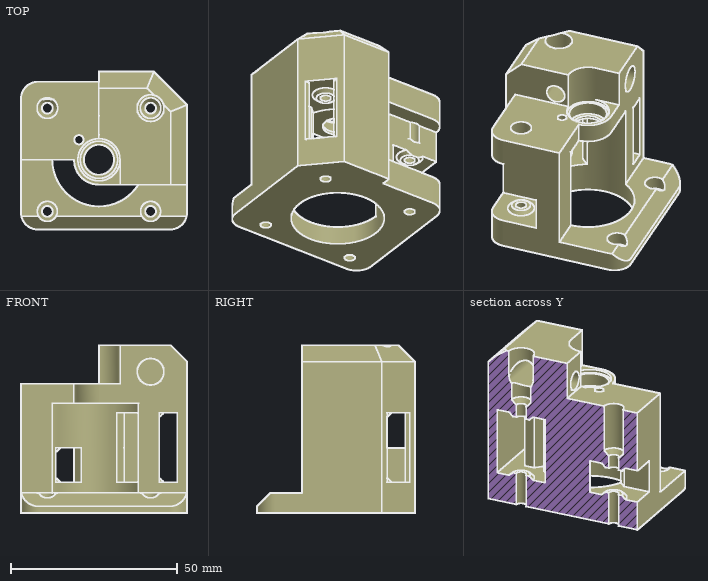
import cadquery as cq


LEFT = -23.5
RIGHT = 26.5
FRONT = -21.0
BACK = 26.5
HEIGHT = 50.5
LEFT_BACK = 23.5
CORNER_RADIUS = 5.25
CORNER_CHAMFER = 10.0
TOP_BEVEL = 5.0

PLATE_TOP = 6.1
PLATE_BEVEL = 4.05
DECK = 38.9
BOSS_RADIUS = 7.5
BLOCK_FRONT = -BOSS_RADIUS

MOTOR_BORE_DIAMETER = 28.0
MOTOR_BORE_TOP = 33.0
CLEARANCE_DIAMETER = 12.7
CLEARANCE_DEPTH = 1.0
CLEARANCE_FLOOR = DECK - CLEARANCE_DEPTH
BEARING_DIAMETER = 11.2
BEARING_FLOOR = 33.9
SHAFT_HOLE_DIAMETER = 9.0
PILOT_HOLE_DIAMETER = 2.75
PILOT_HOLE_OFFSET = 6.0

SCREW_OFFSET = 15.5
SCREW_DIAMETER = 3.2
FRONT_HEAD_DIAMETER = 6.0
FRONT_HEAD_FLOOR = 2.0
REAR_HEAD_DIAMETER = 6.2
SEAT_ABOVE_POCKET = 3.05

POCKET_FLOOR = 9.35
LEFT_POCKET_TOP = 19.6
RIGHT_POCKET_TOP = 30.1
POCKET_INNER = 7.5
SLOT_NEAR = 18.15
SLOT_FAR = LEFT_BACK
RING_BASE_DIAMETER = 8.0
RING_TIP_DIAMETER = 5.6
RING_HEIGHT = 1.1

CLAMP_HEIGHT = 42.45
CLAMP_BORE_DIAMETER = 8.0
CLAMP_BORE_END = 20.7
ACCESS_DIAMETER = 8.05
CROSS_BORE_DIAMETER = 5.75
CROSS_BORE_Y = 10.4

OUTSIDE = 30.3
OVERLAP = 2.5


def box(x0, x1, y0, y1, z0, z1):
    return cq.Workplane("XY").box(x1 - x0, y1 - y0, z1 - z0, centered=False).translate((x0, y0, z0))


def cylinder(x, y, diameter, z0, z1):
    return cq.Workplane("XY", origin=(x, y, z0)).circle(diameter / 2).extrude(z1 - z0)


def cone(x, y, z0, diameter0, z1, diameter1):
    solid = cq.Solid.makeCone(diameter0 / 2, diameter1 / 2, z1 - z0, cq.Vector(x, y, z0), cq.Vector(0, 0, 1))
    return cq.Workplane(obj=solid)


def make_plate():
    plate = box(LEFT, RIGHT, FRONT, SCREW_OFFSET - OVERLAP, 0, PLATE_TOP)
    plate = plate.edges("|Z and <Y").fillet(CORNER_RADIUS)
    wedge = (
        cq.Workplane("YZ", origin=(LEFT, 0, 0))
        .moveTo(FRONT, PLATE_TOP)
        .lineTo(FRONT + PLATE_BEVEL, PLATE_TOP)
        .lineTo(FRONT, PLATE_TOP - PLATE_BEVEL)
        .close()
        .extrude(RIGHT - LEFT)
    )
    return plate.cut(wedge)


def make_left_block():
    block = box(LEFT, OVERLAP, 0, LEFT_BACK, 0, DECK)
    return block.edges("|Z and <X and >Y").fillet(CORNER_RADIUS)


def make_tower():
    tower = (
        cq.Workplane("XY")
        .moveTo(0, BLOCK_FRONT)
        .lineTo(RIGHT, BLOCK_FRONT)
        .lineTo(RIGHT, BACK - CORNER_CHAMFER)
        .lineTo(RIGHT - CORNER_CHAMFER, BACK)
        .lineTo(0, BACK)
        .close()
        .extrude(HEIGHT)
    )
    return tower.faces(">Z").edges("not(<X or <Y)").chamfer(TOP_BEVEL)


def cut_shaft_bores(body):
    clearance_radius = CLEARANCE_DIAMETER / 2
    body = body.cut(cylinder(0, 0, CLEARANCE_DIAMETER, CLEARANCE_FLOOR, HEIGHT))
    body = body.cut(box(0, clearance_radius, BLOCK_FRONT, 0, DECK, HEIGHT))
    body = body.cut(cylinder(0, 0, BEARING_DIAMETER, BEARING_FLOOR, DECK))
    body = body.cut(cylinder(0, 0, SHAFT_HOLE_DIAMETER, 0, DECK))
    return body.cut(cylinder(-PILOT_HOLE_OFFSET, PILOT_HOLE_OFFSET, PILOT_HOLE_DIAMETER, 0, DECK))


def make_floor_ring(x):
    tip = POCKET_FLOOR + RING_HEIGHT
    return cone(x, SCREW_OFFSET, POCKET_FLOOR, RING_BASE_DIAMETER, tip, RING_TIP_DIAMETER)


def make_ceiling_ring(x, ceiling):
    return cone(x, SCREW_OFFSET, ceiling - RING_HEIGHT, RING_TIP_DIAMETER, ceiling, RING_BASE_DIAMETER)


def make_screw_pocket(side, reach, top):
    """Square pocket around a rear screw, opened diagonally into the motor bore."""
    x_near, x_far = sorted((side * POCKET_INNER, side * reach))
    pocket = box(x_near, x_far, POCKET_INNER, reach, POCKET_FLOOR, top)
    passage = (
        cq.Workplane("XY", origin=(0, 0, POCKET_FLOOR))
        .polyline([
            (0, POCKET_INNER),
            (side * POCKET_INNER, 2 * POCKET_INNER),
            (side * 2 * POCKET_INNER, POCKET_INNER),
            (side * POCKET_INNER, 0),
        ])
        .close()
        .extrude(top - POCKET_FLOOR)
    )
    return pocket.union(passage)


def cut_left_pocket(body):
    """Pocket open to the left and back, with a taller slot along the rear face that trims its upper ring."""
    ceiling_ring = make_ceiling_ring(-SCREW_OFFSET, LEFT_POCKET_TOP)
    pocket = make_screw_pocket(-1, OUTSIDE, LEFT_POCKET_TOP).cut(ceiling_ring)
    rear_slot = box(-OUTSIDE, 0, SLOT_NEAR, SLOT_FAR, POCKET_FLOOR, RIGHT_POCKET_TOP)
    cutter = pocket.union(rear_slot).cut(make_floor_ring(-SCREW_OFFSET))
    return body.cut(cutter)


def cut_right_pocket(body):
    """Pocket with openings to the front, back and right, and a tunnel to the left rear slot."""
    ceiling = RIGHT_POCKET_TOP
    cutter = (
        make_screw_pocket(1, SLOT_FAR, ceiling)
        .union(box(SLOT_NEAR, SLOT_FAR, -OUTSIDE, OUTSIDE, POCKET_FLOOR, ceiling))
        .union(box(POCKET_INNER, OUTSIDE, SLOT_NEAR, SLOT_FAR, POCKET_FLOOR, ceiling))
        .cut(make_floor_ring(SCREW_OFFSET))
        .cut(make_ceiling_ring(SCREW_OFFSET, ceiling))
    )
    tunnel = box(0, POCKET_INNER, SLOT_NEAR, SLOT_FAR, LEFT_POCKET_TOP, ceiling)
    return body.cut(cutter).cut(tunnel)


def cut_filament_bores(body):
    """Bore from the front over the right rear screw, met by a bore from the left."""
    bore = (
        cq.Workplane("XZ", origin=(SCREW_OFFSET, BLOCK_FRONT, CLAMP_HEIGHT))
        .circle(CLAMP_BORE_DIAMETER / 2)
        .extrude(BLOCK_FRONT - CLAMP_BORE_END)
    )
    cross_bore = (
        cq.Workplane("YZ", origin=(0, CROSS_BORE_Y, CLAMP_HEIGHT))
        .circle(CROSS_BORE_DIAMETER / 2)
        .extrude(SCREW_OFFSET)
    )
    access = cylinder(SCREW_OFFSET, SCREW_OFFSET, ACCESS_DIAMETER, CLAMP_HEIGHT, HEIGHT)
    return body.cut(access).cut(bore).cut(cross_bore)


def cut_front_screw(body, x):
    body = body.cut(cylinder(x, -SCREW_OFFSET, SCREW_DIAMETER, 0, PLATE_TOP))
    return body.cut(cylinder(x, -SCREW_OFFSET, FRONT_HEAD_DIAMETER, FRONT_HEAD_FLOOR, PLATE_TOP))


def cut_rear_screw(body, x, pocket_top, entry):
    """Screw hole with a countersunk head seat above the pocket, open upwards to the entry height."""
    seat_bottom = pocket_top + SEAT_ABOVE_POCKET
    seat_top = seat_bottom + (REAR_HEAD_DIAMETER - SCREW_DIAMETER) / 2
    body = body.cut(cylinder(x, SCREW_OFFSET, SCREW_DIAMETER, 0, seat_bottom))
    body = body.cut(cone(x, SCREW_OFFSET, seat_bottom, SCREW_DIAMETER, seat_top, REAR_HEAD_DIAMETER))
    return body.cut(cylinder(x, SCREW_OFFSET, REAR_HEAD_DIAMETER, seat_top, entry))


body = make_plate().union(make_left_block()).union(make_tower())
body = body.cut(cylinder(0, 0, MOTOR_BORE_DIAMETER, 0, MOTOR_BORE_TOP))
body = body.union(cylinder(0, 0, 2 * BOSS_RADIUS, MOTOR_BORE_TOP, DECK))
body = cut_shaft_bores(body)
body = cut_left_pocket(body)
body = cut_right_pocket(body)
for screw_x in (-SCREW_OFFSET, SCREW_OFFSET):
    body = cut_front_screw(body, screw_x)
body = cut_rear_screw(body, -SCREW_OFFSET, LEFT_POCKET_TOP, DECK)
body = cut_rear_screw(body, SCREW_OFFSET, RIGHT_POCKET_TOP, CLAMP_HEIGHT)
body = cut_filament_bores(body)

result = body